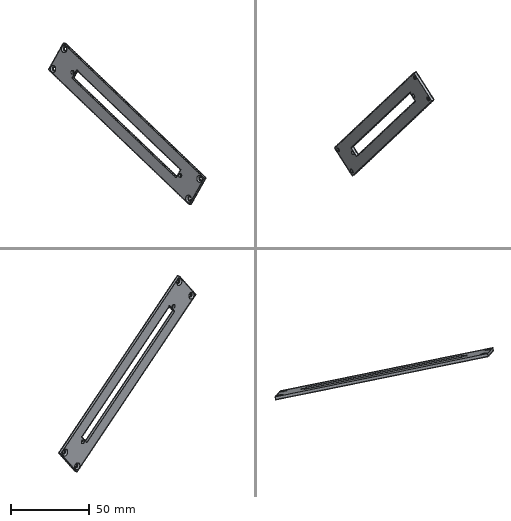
import cadquery as cq

length = 141.5
height = 21.5
thickness = 2.0
tilt_angle = 35.0

window_length = 104.5
window_height = 6.5

corner_inset = 2.7
corner_hole_diameter = 2.5
countersink_diameter = 4.5
countersink_angle = 90.0

side_hole_diameter = 2.4
side_hole_spacing = 108.1


def make_panel():
    """Upright panel centred on the origin, with its front facing -Y."""
    return cq.Workplane("XZ").box(length, height, thickness)


def cut_window(panel):
    """Cut the rectangular window through the panel."""
    return panel.cut(cq.Workplane("XZ").box(window_length, window_height, thickness))


def drill_corner_holes(panel):
    """Drill the four corner holes, countersunk from the front."""
    return (
        panel.faces("<Y").workplane(origin=(0, 0, 0))
        .rect(length - 2 * corner_inset, height - 2 * corner_inset, forConstruction=True)
        .vertices()
        .cskHole(corner_hole_diameter, countersink_diameter, countersink_angle)
    )


def drill_side_holes(panel):
    """Drill one plain through hole beside each end of the window."""
    return (
        panel.faces("<Y").workplane(origin=(0, 0, 0))
        .pushPoints([(-side_hole_spacing / 2, 0), (side_hole_spacing / 2, 0)])
        .hole(side_hole_diameter)
    )


panel = cut_window(make_panel())
panel = drill_corner_holes(panel)
panel = drill_side_holes(panel)

result = panel.rotate((0, 0, 0), (1, 0, 0), -tilt_angle)